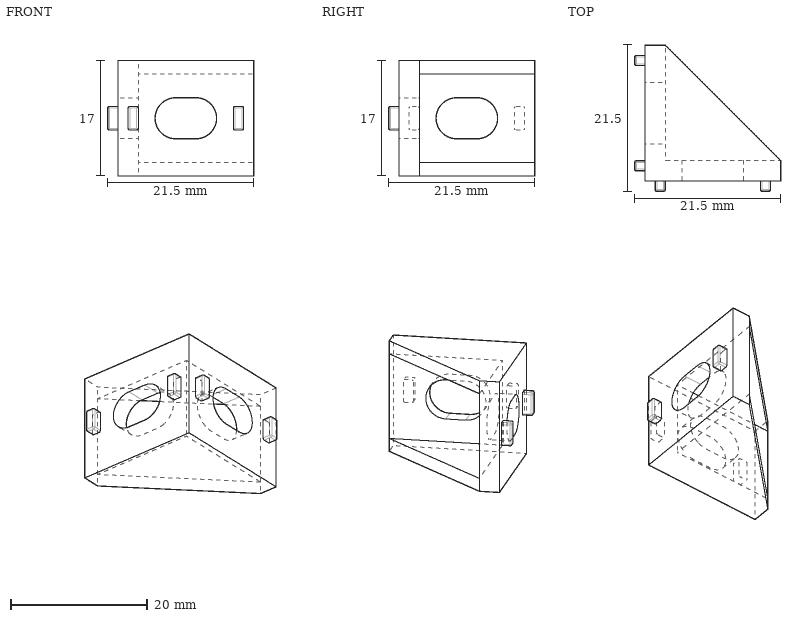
import cadquery as cq

overall = 21.5
height = 17.0
tab_depth = 1.5
tab_width = 1.5
tab_height = 3.5
tab_round = 0.25
tab_inset = 1.5
wall = 3.0
web = 2.0
slot_length = 9.0
slot_width = 6.0

leg = overall - tab_depth
middle = leg / 2
mid_height = height / 2
tab_offset = middle - tab_inset - tab_width / 2


def make_body():
    """Triangular bracket whose two tips are cut square to the wall thickness."""
    outline = [(0, 0), (leg, 0), (leg, wall), (wall, leg), (0, leg)]
    return cq.Workplane("XY").polyline(outline).close().extrude(height)


def make_pocket():
    """Hollow between walls and webs, open on the sloping side."""
    outline = [(wall, wall), (leg, wall), (leg, leg), (wall, leg)]
    return (
        cq.Workplane("XY")
        .workplane(offset=web)
        .polyline(outline)
        .close()
        .extrude(height - 2 * web)
    )


def make_slot():
    """Cutter for the slot through the wall on the -Y side."""
    return (
        cq.Workplane("XZ")
        .center(middle, mid_height)
        .slot2D(slot_length, slot_width)
        .extrude(-wall)
    )


def make_tabs():
    """Pair of rounded tabs on the -Y face."""
    return (
        cq.Workplane("XZ")
        .pushPoints([(middle - tab_offset, mid_height), (middle + tab_offset, mid_height)])
        .rect(tab_width, tab_height)
        .extrude(tab_depth)
        .edges("|Y or <Y")
        .fillet(tab_round)
    )


def mirror_to_other_wall(feature):
    """Swap X and Y, taking a feature from the -Y wall to the -X wall."""
    return feature.mirror("XZ").rotate((0, 0, 0), (0, 0, 1), 90)


slot = make_slot()
tabs = make_tabs()

result = make_body().cut(make_pocket())
for wall_slot in (slot, mirror_to_other_wall(slot)):
    result = result.cut(wall_slot)
for wall_tabs in (tabs, mirror_to_other_wall(tabs)):
    result = result.union(wall_tabs)